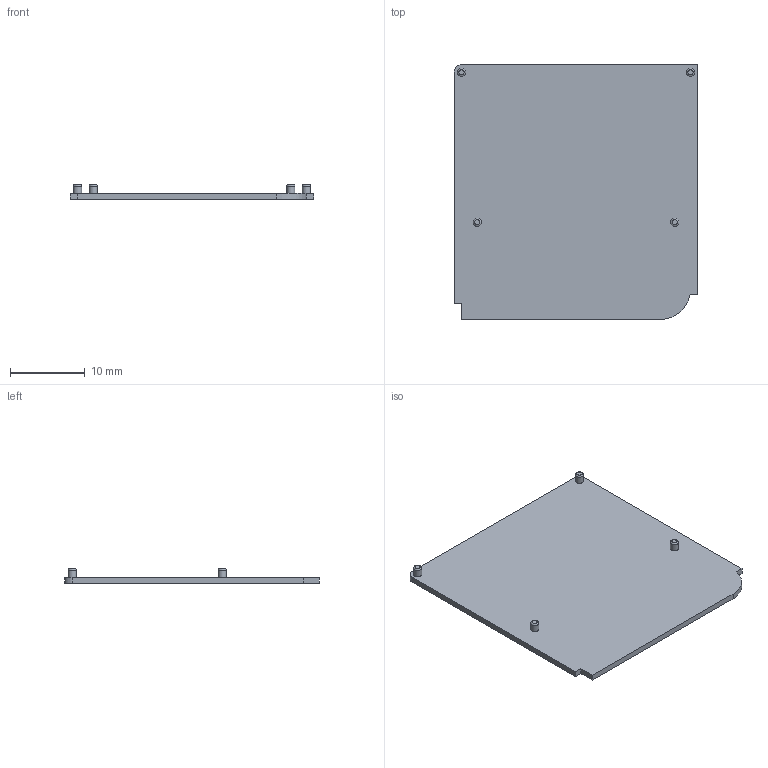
import cadquery as cq
import math

plate_width = 32.6
plate_length = 34.05
plate_thickness = 0.8
total_height = 2.0

back_left_radius = 1.0
front_right_radius = 4.0
notch_width = 1.0
left_notch_length = 2.15
right_notch_length = 3.3

pin_diameter = 1.1
pin_tip_radius = 0.2
pin_side_inset = 1.0
pin_back_inset = 1.03
front_pin_offset_x = 2.1
pin_row_spacing = 20.05

right_x = plate_width / 2
left_x = -right_x
back_y = plate_length / 2
front_y = -back_y
front_left_x = left_x + notch_width


def front_right_arc_point(angle):
    """Point on the large front right corner arc, at an angle measured from +X."""
    centre_x = right_x - notch_width - front_right_radius
    centre_y = front_y + front_right_radius
    return (
        centre_x + front_right_radius * math.cos(angle),
        centre_y + front_right_radius * math.sin(angle),
    )


def make_plate():
    """Flat plate with both front corners notched and one rounded back corner."""
    left_shoulder_y = front_y + left_notch_length
    right_shoulder_y = front_y + right_notch_length

    arc_start = -math.pi / 2
    arc_end = -math.asin((front_right_radius - right_notch_length) / front_right_radius)
    arc_middle = (arc_start + arc_end) / 2

    outline = (
        cq.Workplane("XY")
        .moveTo(front_left_x, front_y)
        .lineTo(*front_right_arc_point(arc_start))
        .threePointArc(front_right_arc_point(arc_middle), front_right_arc_point(arc_end))
        .lineTo(right_x, right_shoulder_y)
        .lineTo(right_x, back_y)
        .lineTo(left_x, back_y)
        .lineTo(left_x, left_shoulder_y)
        .lineTo(front_left_x, left_shoulder_y)
        .close()
    )
    plate = outline.extrude(plate_thickness)
    return plate.edges("|Z and <X and >Y").fillet(back_left_radius)


def make_pins():
    """Four pins with rounded tips in two rows, mirrored about the YZ plane."""
    back_pin_x = right_x - pin_side_inset
    front_pin_x = back_pin_x - front_pin_offset_x
    back_row_y = back_y - pin_back_inset
    front_row_y = back_row_y - pin_row_spacing
    centres = [
        (side * x, y)
        for x, y in ((back_pin_x, back_row_y), (front_pin_x, front_row_y))
        for side in (-1, 1)
    ]
    return (
        cq.Workplane("XY")
        .pushPoints(centres)
        .circle(pin_diameter / 2)
        .extrude(total_height)
        .faces(">Z")
        .edges()
        .fillet(pin_tip_radius)
    )


result = make_plate().union(make_pins())